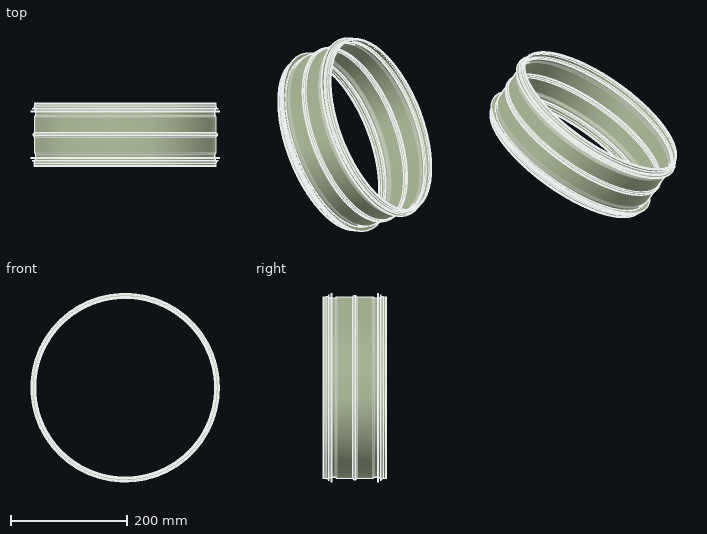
import cadquery as cq

LENGTH = 110.0
SHEET = 0.5
BARREL_DIAMETER = 313.0
SEAT_DIAMETER = 309.0
SEAL_BASE_DIAMETER = 310.3
SEAL_SHOULDER_DIAMETER = 314.0
SHORT_LIP_DIAMETER = 319.5
TALL_LIP_DIAMETER = 324.2

BEAD_HEIGHT = 2.0
BEAD_HALF_CREST = 1.5
BEAD_HALF_ROOT = 4.0

BARREL_HALF_LENGTH = 30.8
STEP_LENGTH = 3.0
STEP_BEND_RADIUS = 1.5

HEM_LENGTH = 5.8
FOLD_DEPTH = 2.0

SHOULDER_START = 7.5
SHORT_LIP_START = 10.0
SHORT_LIP_WIDTH = 1.0
TALL_LIP_START = 14.0
TALL_LIP_WIDTH = 2.0

TOLERANCE = 0.03

barrel_radius = BARREL_DIAMETER / 2
inner_barrel_radius = barrel_radius - SHEET
seat_radius = SEAT_DIAMETER / 2
bore_radius = seat_radius - SHEET
half_length = LENGTH / 2
hem_lip_y = half_length - HEM_LENGTH
fold_start_y = half_length - FOLD_DEPTH
seat_start_y = BARREL_HALF_LENGTH + STEP_LENGTH


def ring(profile):
    """Turn a closed (radius, y) profile into a ring around the Y axis."""
    return profile.revolve(360, (0, 0, 0), (0, 1, 0))


def make_tube():
    """Sheet tube with a central bead, and a recessed seat at each end."""
    half_wall = [
        (barrel_radius + BEAD_HEIGHT, BEAD_HALF_CREST),
        (barrel_radius, BEAD_HALF_ROOT),
        (barrel_radius, BARREL_HALF_LENGTH),
        (seat_radius, seat_start_y),
        (seat_radius, fold_start_y),
    ]
    outside = [(radius, -y) for radius, y in reversed(half_wall)] + half_wall
    inside = [(radius - SHEET, y) for radius, y in reversed(outside)]
    wall = cq.Workplane("XY").polyline(outside + inside).close().val()
    step_corners = [
        corner
        for corner in wall.Vertices()
        if BARREL_HALF_LENGTH - TOLERANCE < abs(corner.Y) < seat_start_y + TOLERANCE
    ]
    rounded_wall = wall.fillet2D(STEP_BEND_RADIUS, step_corners)
    return ring(cq.Workplane("XY").add(rounded_wall).toPending())


def make_hem():
    """Sheet folded outward and back at the +Y end, leaving a slot for the gasket."""
    fold_height = (barrel_radius - bore_radius) / 2
    return ring(
        cq.Workplane("XY")
        .moveTo(bore_radius, fold_start_y)
        .ellipseArc(fold_height, FOLD_DEPTH, 0, 180, sense=-1)
        .lineTo(barrel_radius, hem_lip_y)
        .lineTo(inner_barrel_radius, hem_lip_y)
        .lineTo(inner_barrel_radius, fold_start_y)
        .ellipseArc(fold_height - SHEET, FOLD_DEPTH - SHEET, 0, 180)
        .close()
    )


def make_duct():
    """Tube and its two hems as one sheet metal body."""
    hem = make_hem()
    opposite_hem = hem.rotate((0, 0, 0), (0, 0, 1), 180)
    return make_tube().union(hem).union(opposite_hem).solids().val()


def make_gasket(side):
    """Rubber ring with a tongue under the hem and two lips; side is +1 or -1."""
    base_radius = SEAL_BASE_DIAMETER / 2
    shoulder_radius = SEAL_SHOULDER_DIAMETER / 2
    short_lip_radius = SHORT_LIP_DIAMETER / 2
    tall_lip_radius = TALL_LIP_DIAMETER / 2
    shoulder_y = half_length - SHOULDER_START
    short_outer_y = half_length - SHORT_LIP_START
    short_inner_y = short_outer_y - SHORT_LIP_WIDTH
    tall_outer_y = half_length - TALL_LIP_START
    tall_inner_y = tall_outer_y - TALL_LIP_WIDTH
    section = [
        (seat_radius, fold_start_y),
        (inner_barrel_radius, fold_start_y),
        (inner_barrel_radius, hem_lip_y),
        (barrel_radius, hem_lip_y),
        (shoulder_radius, shoulder_y),
        (shoulder_radius, short_outer_y),
        (short_lip_radius, short_outer_y),
        (short_lip_radius, short_inner_y),
        (base_radius, short_inner_y),
        (base_radius, tall_outer_y),
        (tall_lip_radius, tall_outer_y),
        (tall_lip_radius, tall_inner_y),
        (seat_radius, tall_inner_y),
    ]
    placed = [(radius, side * y) for radius, y in section]
    return ring(cq.Workplane("XY").polyline(placed).close()).val()


duct = make_duct()
gaskets = [make_gasket(side) for side in (-1, 1)]

result = cq.Compound.makeCompound([duct, *gaskets])